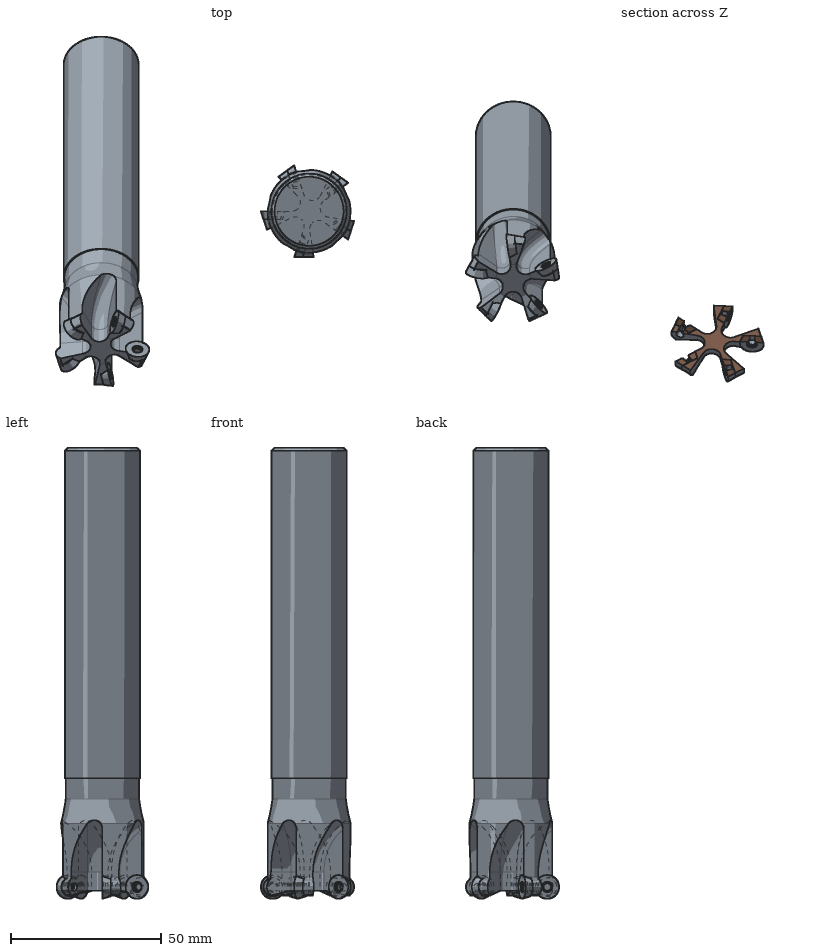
import cadquery as cq
import math

LENGTH = 150.0
SHANK_DIAMETER = 25.0
SHANK_CHAMFER = 1.0
NECK_DIAMETER = 24.5
NECK_TOP = 40.0
NECK_BOTTOM = 33.3
HEAD_DIAMETER = 27.6
HEAD_TOP = 25.2
DISH_HEIGHT = 2.7
DISH_FLAT_DIAMETER = 12.0
DISH_ANGLE = 12.0
FLARE_HOLLOW = 0.2

INSERT_COUNT = 5
FIRST_ANGLE = 36.0
PITCH_ANGLE = 360.0 / INSERT_COUNT
TIP_RADIUS = 16.0
INSERT_DIAMETER = 8.0
INSERT_THICKNESS = 2.7
CLEARANCE_ANGLE = 17.0
HOLE_RIM_DIAMETER = 3.5
HOLE_STEP_DIAMETER = 2.8
SCREW_HOLE_DIAMETER = 2.5
HOLE_RIM_DEPTH = 0.3
HOLE_STEP_DEPTH = 0.9

INSERT_X = TIP_RADIUS - INSERT_DIAMETER / 2
INSERT_Z = INSERT_DIAMETER / 2

LUG_DIAMETER = 6.3
LUG_TILT = 18.0
LUG_BLEND = 1.4
JOINT_TOLERANCE = 0.02
LUG_LENGTH = 7.5
LUG_OVERRUN = 3.0
THROUGH_HOLE_ANGLE = FIRST_ANGLE + PITCH_ANGLE

FLUTE_ROOT_RADIUS = 3.0
FLUTE_ROOT_X = 6.0
FLOOR_ANGLE = 45.0
FLUTE_RUNOUT_X = 22.5
FLUTE_STRAIGHT_TOP = 9.0
FLUTE_REACH = 18.0


def make_blank():
    """Turned shank, neck, flare and plain head."""
    shank_r = SHANK_DIAMETER / 2
    neck_r = NECK_DIAMETER / 2
    head_r = HEAD_DIAMETER / 2
    flare_middle = ((neck_r + head_r) / 2 - FLARE_HOLLOW, (NECK_BOTTOM + HEAD_TOP) / 2)
    return (
        cq.Workplane("XZ")
        .lineTo(head_r, 0)
        .lineTo(head_r, HEAD_TOP)
        .threePointArc(flare_middle, (neck_r, NECK_BOTTOM))
        .lineTo(neck_r, NECK_TOP)
        .lineTo(shank_r, NECK_TOP)
        .lineTo(shank_r, LENGTH - SHANK_CHAMFER)
        .lineTo(shank_r - SHANK_CHAMFER, LENGTH)
        .lineTo(0, LENGTH)
        .close()
        .revolve()
    )


def lug_direction():
    """Axis of the lug of the tooth on +X, tilted inwards behind the insert."""
    tilt = math.radians(LUG_TILT)
    return cq.Vector(-math.sin(tilt), math.cos(tilt), 0)


def make_lug():
    """Tilted round lug of the tooth on +X, long enough to reach into both flutes beside it."""
    lug_r = LUG_DIAMETER / 2
    axis_x = TIP_RADIUS - lug_r / math.cos(math.radians(LUG_TILT))
    start = cq.Vector(axis_x, 0, INSERT_Z) - lug_direction() * LUG_OVERRUN
    return cq.Workplane(
        cq.Solid.makeCylinder(lug_r, LUG_OVERRUN + LUG_LENGTH, start, lug_direction())
    )


def make_dish():
    """Flat-topped cone that hollows the lower end of the head."""
    flat_r = DISH_FLAT_DIAMETER / 2
    foot_r = flat_r + DISH_HEIGHT / math.tan(math.radians(DISH_ANGLE))
    return cq.Workplane(cq.Solid.makeCone(foot_r, flat_r, DISH_HEIGHT))


def lug_joints(blank):
    """Upper edges where the lugs leave the side of the head."""

    def is_joint(edge):
        points = edge.positions([0, 0.5, 1])
        on_side = all(abs(math.hypot(p.x, p.y) - HEAD_DIAMETER / 2) < JOINT_TOLERANCE for p in points)
        return on_side and all(INSERT_Z < p.z < INSERT_DIAMETER for p in points)

    return [edge for edge in blank.edges().vals() if is_joint(edge)]


def flute_section(z):
    """Closed cross-section of the flute in front of the tooth on +X, at height z."""
    floor = math.radians(FLOOR_ANGLE)
    middle = (math.pi - floor) / 2

    def on_root(turn):
        return (
            FLUTE_ROOT_X - FLUTE_ROOT_RADIUS * math.sin(turn),
            FLUTE_ROOT_RADIUS * (math.cos(turn) - 1),
        )

    floor_start = on_root(2 * middle)
    floor_run = FLUTE_RUNOUT_X - floor_start[0]
    floor_end = (FLUTE_RUNOUT_X, floor_start[1] - floor_run * math.tan(floor))
    return (
        cq.Workplane("XY", origin=(0, 0, z))
        .moveTo(FLUTE_RUNOUT_X, 0)
        .lineTo(FLUTE_ROOT_X, 0)
        .threePointArc(on_root(middle), floor_start)
        .lineTo(*floor_end)
        .close()
    )


def make_flute():
    """Straight lower flute, turned outwards above FLUTE_STRAIGHT_TOP."""
    straight = flute_section(-FLUTE_REACH).extrude(FLUTE_STRAIGHT_TOP + FLUTE_REACH)
    runout = flute_section(FLUTE_STRAIGHT_TOP).revolve(
        90, (FLUTE_RUNOUT_X, 0, 0), (FLUTE_RUNOUT_X, 1, 0)
    )
    return straight.union(runout)


def cutting_face_plane():
    """Plane of the cutting face, with its normal pointing into the tooth."""
    return cq.Plane(origin=(INSERT_X, 0, INSERT_Z), xDir=(1, 0, 0), normal=(0, 1, 0))


def make_insert_blank():
    """Round insert without its hole, tapering away from the cutting face."""
    face = cq.Workplane(cutting_face_plane()).circle(INSERT_DIAMETER / 2)
    return face.extrude(INSERT_THICKNESS, taper=CLEARANCE_ANGLE)


def make_insert():
    """Round insert with a stepped screw hole, chamfered at the cutting face."""
    rim_r = HOLE_RIM_DIAMETER / 2
    step_r = HOLE_STEP_DIAMETER / 2
    hole_r = SCREW_HOLE_DIAMETER / 2
    hole = (
        cq.Workplane("XY", origin=(INSERT_X, 0, INSERT_Z))
        .lineTo(rim_r, 0)
        .lineTo(step_r, HOLE_RIM_DEPTH)
        .lineTo(step_r, HOLE_STEP_DEPTH)
        .lineTo(hole_r, HOLE_STEP_DEPTH)
        .lineTo(hole_r, INSERT_THICKNESS)
        .lineTo(0, INSERT_THICKNESS)
        .close()
        .revolve(360, (0, 0, 0), (0, 1, 0))
    )
    return make_insert_blank().cut(hole)


def make_screw_hole():
    """Hole from the middle of the seat through the lug, along the lug."""
    start = cq.Vector(INSERT_X, INSERT_THICKNESS, INSERT_Z)
    return cq.Workplane(
        cq.Solid.makeCylinder(SCREW_HOLE_DIAMETER / 2, LUG_LENGTH, start, lug_direction())
    )


def turned(shape, angle):
    """Copy of a shape of the tooth on +X, turned about Z to another tooth."""
    return shape.rotate((0, 0, 0), (0, 0, 1), angle)


tooth_angles = [FIRST_ANGLE + i * PITCH_ANGLE for i in range(INSERT_COUNT)]

lug = make_lug()
flute = make_flute()
seat = make_insert_blank()
screw_hole = make_screw_hole()

body = make_blank()
for angle in tooth_angles:
    body = body.union(turned(lug, angle))
body = body.newObject(lug_joints(body)).fillet(LUG_BLEND)
body = body.cut(make_dish())
for angle in tooth_angles:
    body = body.cut(turned(flute, angle))
for angle in tooth_angles:
    body = body.cut(turned(seat, angle))
body = body.cut(turned(screw_hole, THROUGH_HOLE_ANGLE))

insert = make_insert()
inserts = [turned(insert, angle).val() for angle in tooth_angles]

result = cq.Compound.makeCompound([body.val(), *inserts])